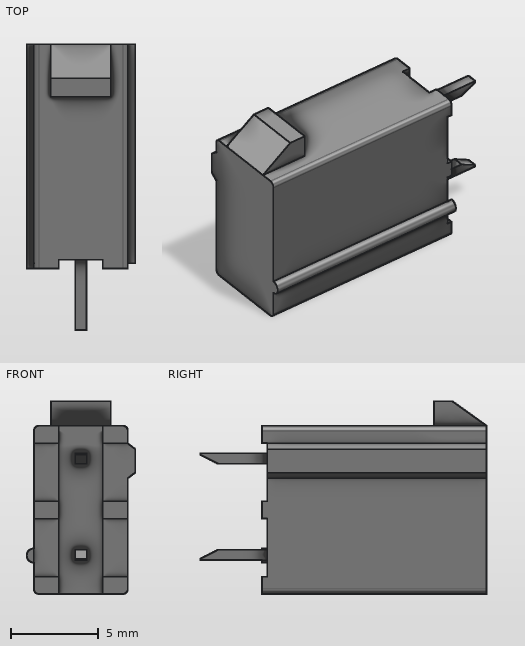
import cadquery as cq

overall_width = 6.2
overall_depth = 16.3

body_width = 5.36
body_depth = 12.8
body_height = 9.6
corner_radius = 0.3

channel_width = 2.5
channel_depth = 0.5
pad_height = 1.0
pad_projection = 0.3

latch_width = 3.4
latch_length = 3.0
latch_flat = 1.05
latch_height = 1.4

rail_radius = 0.4
rail_z = 2.2

key_reach = overall_width - body_width - rail_radius
key_bottom = 6.6
key_top = 8.59
key_bevel = 0.33

pin_width = 0.65
pin_height = 0.6
pin_projection = overall_depth - body_depth
pin_taper = 1.0
pin_tip = 0.1
lower_pin_z = 2.23
pin_pitch = 5.5

half_width = body_width / 2


def block(x_min, x_max, y_min, y_max, z_min, z_max):
    """Axis-aligned box between the given limits."""
    size = (x_max - x_min, y_max - y_min, z_max - z_min)
    return cq.Workplane("XY").box(*size, centered=False).translate((x_min, y_min, z_min))


def side_profile(points, width):
    """Extrude (y, z) points across X, centred on the housing."""
    return cq.Workplane("YZ").polyline(points).close().extrude(width / 2, both=True)


def make_housing():
    housing = block(-half_width, half_width, 0, body_depth, 0, body_height)
    housing = housing.edges("|Y").fillet(corner_radius)
    channel_half = channel_width / 2
    housing = housing.cut(block(-channel_half, channel_half, 0, channel_depth, 0, body_height))
    middle_pad_bottom = (body_height - pad_height) / 2
    recess_height = middle_pad_bottom - pad_height
    for recess_bottom in (pad_height, middle_pad_bottom + pad_height):
        recess_top = recess_bottom + recess_height
        housing = housing.cut(
            block(-half_width, half_width, 0, pad_projection, recess_bottom, recess_top)
        )
    return housing


def make_latch():
    front = body_depth - latch_length
    top = body_height + latch_height
    points = [
        (front, body_height),
        (front, top),
        (front + latch_flat, top),
        (body_depth, body_height),
    ]
    return side_profile(points, latch_width)


def make_rail():
    rail = cq.Workplane("XZ").center(-half_width, rail_z).circle(rail_radius).extrude(-body_depth)
    inner_half = block(
        -half_width, 0, 0, body_depth, rail_z - rail_radius, rail_z + rail_radius
    )
    return rail.cut(inner_half)


def make_key():
    points = [
        (half_width, key_bottom),
        (half_width + key_reach, key_bottom + key_bevel),
        (half_width + key_reach, key_top - key_bevel),
        (half_width, key_top),
    ]
    key = cq.Workplane("XZ").polyline(points).close().extrude(pad_projection - body_depth)
    return key.translate((0, pad_projection, 0))


def make_pin(center_z, outward):
    """Pin whose tip narrows towards its outward side: +1 is up, -1 is down."""
    outer_z = center_z + outward * pin_height / 2
    inner_z = center_z - outward * pin_height / 2
    points = [
        (channel_depth, inner_z),
        (pin_taper - pin_projection, inner_z),
        (-pin_projection, outer_z - outward * pin_tip),
        (-pin_projection, outer_z),
        (channel_depth, outer_z),
    ]
    return side_profile(points, pin_width)


result = (
    make_housing()
    .union(make_latch())
    .union(make_rail())
    .union(make_key())
    .union(make_pin(lower_pin_z, -1))
    .union(make_pin(lower_pin_z + pin_pitch, 1))
)